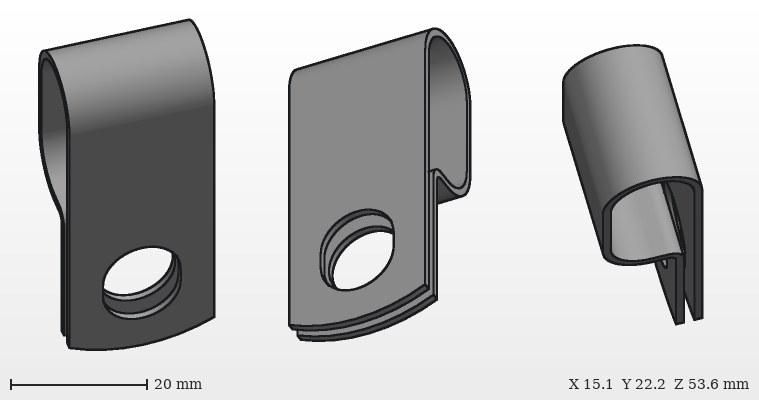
import cadquery as cq
import math

thickness = 1.22
width = 22.225

inner_radius = 6.35
outer_radius = inner_radius + thickness
straight_height = 12.7

total_height = 53.59
leg_gap = 1.56
bend_inner_radius = 1.19
bend_outer_radius = bend_inner_radius + thickness
end_radius = 25.4
hole_diameter = 11.91
hole_height = 12.7
slot_length = 14.29

upper_center_z = total_height - outer_radius
lower_center_z = upper_center_z - straight_height
loop_floor_z = lower_center_z - inner_radius
loop_bottom_z = lower_center_z - outer_radius
bend_center_z = loop_floor_z - bend_outer_radius

short_leg_outer_x = inner_radius - leg_gap
short_leg_inner_x = short_leg_outer_x - thickness
bend_center_x = short_leg_outer_x - bend_outer_radius

diagonal = math.sqrt(0.5)


def bent_strip():
    """Strip bent into a loop with a long straight leg and a short offset leg."""
    bend_outer_mid = (
        bend_center_x + bend_outer_radius * diagonal,
        bend_center_z + bend_outer_radius * diagonal,
    )
    bend_inner_mid = (
        bend_center_x + bend_inner_radius * diagonal,
        bend_center_z + bend_inner_radius * diagonal,
    )
    lower_outer_mid = (-outer_radius * diagonal, lower_center_z - outer_radius * diagonal)
    lower_inner_mid = (-inner_radius * diagonal, lower_center_z - inner_radius * diagonal)
    return (
        cq.Workplane("XZ")
        .moveTo(outer_radius, 0)
        .lineTo(outer_radius, upper_center_z)
        .threePointArc((0, total_height), (-outer_radius, upper_center_z))
        .lineTo(-outer_radius, lower_center_z)
        .threePointArc(lower_outer_mid, (0, loop_bottom_z))
        .lineTo(bend_center_x, loop_bottom_z)
        .threePointArc(bend_inner_mid, (short_leg_inner_x, bend_center_z))
        .lineTo(short_leg_inner_x, 0)
        .lineTo(short_leg_outer_x, 0)
        .lineTo(short_leg_outer_x, bend_center_z)
        .threePointArc(bend_outer_mid, (bend_center_x, loop_floor_z))
        .lineTo(0, loop_floor_z)
        .threePointArc(lower_inner_mid, (-inner_radius, lower_center_z))
        .lineTo(-inner_radius, upper_center_z)
        .threePointArc((0, upper_center_z + inner_radius), (inner_radius, upper_center_z))
        .lineTo(inner_radius, 0)
        .close()
        .extrude(width / 2, both=True)
    )


def rounded_end_envelope():
    """Block around the strip whose lower end is a shallow arc across the width."""
    half_width = width / 2
    corner_z = end_radius - math.sqrt(end_radius**2 - half_width**2)
    return (
        cq.Workplane("YZ")
        .moveTo(-half_width, corner_z)
        .threePointArc((0, 0), (half_width, corner_z))
        .lineTo(half_width, total_height)
        .lineTo(-half_width, total_height)
        .close()
        .extrude(outer_radius, both=True)
    )


def short_leg_hole():
    """Round bolt hole through the short leg only."""
    return (
        cq.Workplane("YZ", origin=(short_leg_inner_x, 0, hole_height))
        .circle(hole_diameter / 2)
        .extrude(thickness)
    )


def long_leg_slot():
    """Upright slot through the long leg only, centred behind the round hole."""
    return (
        cq.Workplane("YZ", origin=(inner_radius, 0, hole_height))
        .slot2D(slot_length, hole_diameter, angle=90)
        .extrude(thickness)
    )


result = (
    bent_strip()
    .intersect(rounded_end_envelope())
    .cut(short_leg_hole())
    .cut(long_leg_slot())
)